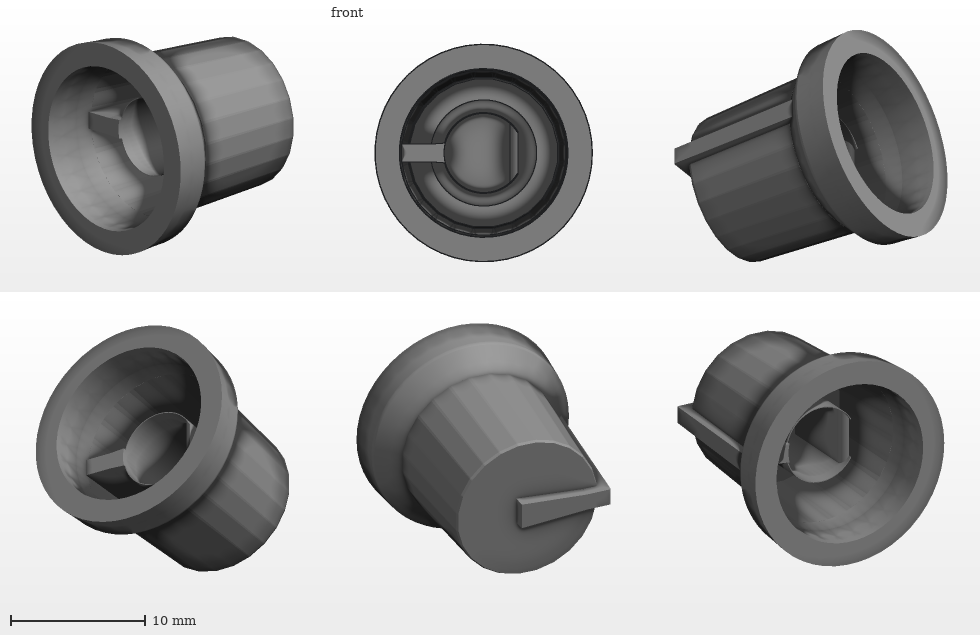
import cadquery as cq
import math


flange_radius = 8.1
flange_shoulder_radius = 7.9
flange_shoulder_y = 2.65
flange_edge_fillet = 0.39
grip_start_y = 4.37

facet_count = 24
grip_start_apothem = 6.17
grip_end_apothem = 5.65
cap_y = 13.93
cap_bevel_height = 0.21
cap_bevel_inset = 0.11
grip_start_flat = 0.105
grip_end_flat = 0.04

mouth_radius = 6.29
mouth_depth = 2.82
mouth_end_radius = 6.25
step_end_radius = 6.1
step_end_y = 4.21
cavity_start_apothem = 6.09
cavity_end_apothem = 5.6
cavity_end_y = 12.15
cavity_start_flat = 0.2
cavity_end_flat = 0.05

pad_apothem = 5.49
pad_root_apothem = 5.69
pad_y = 11.18
pad_root_y = 12.31
recess_radius = 3.95
recess_y = 11.66

sleeve_radius = 3.01
sleeve_wall = 0.06
sleeve_rim_y = 4.31
sleeve_outer_flat_x = 2.55
shaft_flat_x = 1.98
lead_in_rim_y = 4.57
lead_in_length = 0.76
bore_radius = sleeve_radius - sleeve_wall

pointer_root_y = 3.24
pointer_root_x = -6.88
pointer_root_half_width = 1.5 / 2
pointer_outer_x = -6.38
pointer_half_width = 1.31 / 2
pointer_outer_y = 14.75
pointer_tip_x = 0.85
pointer_tip_y = 14.9
pointer_tip_draft = 0.05
pointer_tip_half_width = 2.05 / 2
pointer_flare_x = -4.44
pointer_edge_fillet = 0.13

rib_outer_x = -6.15
rib_flare_x = -4.02
rib_outer_y = 3.97

pointer_flare = (pointer_tip_half_width - pointer_half_width) / (pointer_tip_x - pointer_flare_x)
pointer_top_slope = (pointer_tip_y - pointer_outer_y) / (pointer_tip_x - pointer_outer_x)


def plane_at(y):
    """Workplane across the knob axis: local x is X, local y is Z, normal is -Y."""
    return cq.Workplane("XZ", origin=(0, y, 0))


def cylinder(radius, start_y, end_y):
    return plane_at(end_y).circle(radius).extrude(end_y - start_y)


def faceted_wire(apothem, corner_flat, y):
    """Regular polygon across the axis, each corner trimmed by a narrow flat."""
    half_facet = apothem * math.tan(math.pi / facet_count) - corner_flat
    points = []
    for index in range(facet_count):
        angle = index * 2 * math.pi / facet_count
        for side in (-half_facet, half_facet):
            x = apothem * math.cos(angle) - side * math.sin(angle)
            z = apothem * math.sin(angle) + side * math.cos(angle)
            points.append(cq.Vector(x, y, z))
    return cq.Wire.makePolygon(points, close=True)


def faceted_taper(*sections):
    """Ruled solid through (apothem, corner flat, y) sections."""
    wires = [faceted_wire(*section) for section in sections]
    return cq.Workplane(obj=cq.Solid.makeLoft(wires, True))


def make_flange():
    flange = (
        cq.Workplane("XY")
        .polyline([
            (0, 0),
            (flange_radius, 0),
            (flange_shoulder_radius, flange_shoulder_y),
            (grip_start_apothem, grip_start_y),
            (0, grip_start_y),
        ])
        .close()
        .revolve(360, (0, 0, 0), (0, 1, 0))
    )
    shoulder = cq.selectors.NearestToPointSelector((0, flange_shoulder_y, 0))
    return flange.edges("%CIRCLE").edges(shoulder).fillet(flange_edge_fillet)


def make_grip():
    return faceted_taper(
        (grip_start_apothem, grip_start_flat, grip_start_y),
        (grip_end_apothem, grip_end_flat, cap_y - cap_bevel_height),
    ).union(faceted_taper(
        (grip_end_apothem, grip_end_flat, cap_y - cap_bevel_height),
        (grip_end_apothem - cap_bevel_inset, grip_end_flat, cap_y),
    ))


def make_pointer():
    tip_x = pointer_tip_x + pointer_tip_draft
    side = (
        cq.Workplane("XY")
        .polyline([
            (pointer_root_x, pointer_root_y),
            (pointer_outer_x, pointer_outer_y),
            (pointer_tip_x, pointer_tip_y),
            (tip_x, cap_y),
            (tip_x, pointer_root_y),
        ])
        .close()
        .extrude(pointer_tip_half_width, both=True)
        .edges(cq.selectors.NearestToPointSelector((pointer_outer_x, pointer_outer_y, 0)))
        .fillet(pointer_edge_fillet)
    )
    blade = (
        cq.Workplane("YZ", origin=(pointer_root_x, 0, 0))
        .polyline([
            (pointer_root_y, -pointer_root_half_width),
            (pointer_tip_y, -pointer_half_width),
            (pointer_tip_y, pointer_half_width),
            (pointer_root_y, pointer_root_half_width),
        ])
        .close()
        .extrude(pointer_flare_x - pointer_root_x)
    )
    bar = (
        plane_at(pointer_tip_y)
        .polyline([
            (pointer_flare_x, -pointer_half_width),
            (tip_x, -pointer_tip_half_width),
            (tip_x, pointer_tip_half_width),
            (pointer_flare_x, pointer_half_width),
        ])
        .close()
        .extrude(pointer_tip_y - cavity_end_y)
    )
    return blade.union(bar).intersect(side)


def make_cavity():
    mouth = (
        cq.Workplane("XY")
        .polyline([
            (0, 0),
            (mouth_radius, 0),
            (mouth_end_radius, mouth_depth),
            (step_end_radius, step_end_y),
            (0, step_end_y),
        ])
        .close()
        .revolve(360, (0, 0, 0), (0, 1, 0))
    )
    faceted_bore = faceted_taper(
        (cavity_start_apothem, cavity_start_flat, step_end_y),
        (cavity_end_apothem, cavity_end_flat, cavity_end_y),
    )
    pad = faceted_taper(
        (pad_apothem, cavity_end_flat, pad_y),
        (pad_root_apothem, cavity_end_flat, pad_root_y),
    ).cut(cylinder(recess_radius, pad_y, recess_y))
    return mouth.union(faceted_bore).cut(pad)


def make_rib():
    """Rib with the plan of the pointer and a front face parallel to the pointer top."""
    half_width_at_axis = pointer_half_width - rib_flare_x * pointer_flare
    rib_axis_y = rib_outer_y - rib_outer_x * pointer_top_slope
    plan = (
        plane_at(cavity_end_y)
        .polyline([
            (rib_outer_x, -pointer_half_width),
            (rib_flare_x, -pointer_half_width),
            (0, -half_width_at_axis),
            (0, half_width_at_axis),
            (rib_flare_x, pointer_half_width),
            (rib_outer_x, pointer_half_width),
        ])
        .close()
        .extrude(cavity_end_y)
    )
    side = (
        cq.Workplane("XY")
        .polyline([
            (rib_outer_x, rib_outer_y),
            (0, rib_axis_y),
            (0, cavity_end_y),
            (rib_outer_x, cavity_end_y),
        ])
        .close()
        .extrude(pointer_tip_half_width, both=True)
    )
    return plan.intersect(side).cut(cylinder(bore_radius, 0, cavity_end_y))


def make_sleeve():
    outer_flat_cut = (
        cq.Workplane("XY")
        .box(sleeve_radius, cap_y, 2 * sleeve_radius, centered=(False, False, True))
        .translate((sleeve_outer_flat_x, 0, 0))
    )
    lead_in_x = sleeve_outer_flat_x - shaft_flat_x
    arc_middle = (
        shaft_flat_x + lead_in_x * (1 - math.cos(math.pi / 4)),
        lead_in_rim_y + lead_in_length * (1 - math.sin(math.pi / 4)),
    )
    flat_key = (
        cq.Workplane("XY")
        .moveTo(shaft_flat_x, recess_y)
        .lineTo(shaft_flat_x, lead_in_rim_y + lead_in_length)
        .threePointArc(arc_middle, (sleeve_outer_flat_x, lead_in_rim_y))
        .lineTo(sleeve_radius, lead_in_rim_y)
        .lineTo(sleeve_radius, recess_y)
        .close()
        .extrude(sleeve_radius, both=True)
    )
    bore = cylinder(bore_radius, sleeve_rim_y, recess_y).cut(flat_key)
    return cylinder(sleeve_radius, sleeve_rim_y, recess_y).cut(outer_flat_cut).cut(bore)


shell = make_flange().union(make_grip()).union(make_pointer())
result = shell.cut(make_cavity()).union(make_sleeve()).union(make_rib())